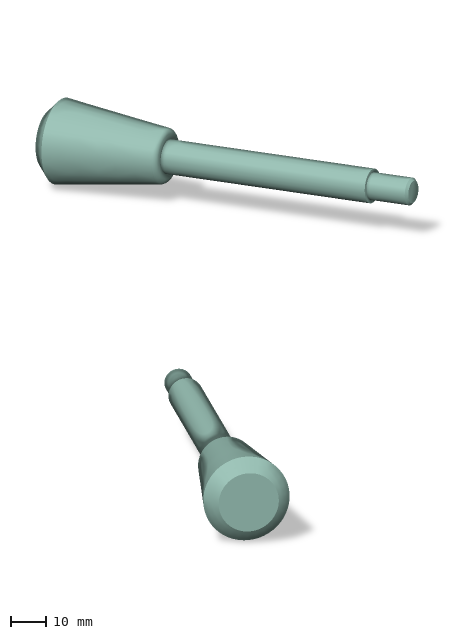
import cadquery as cq

total_length = 116.0

knob_length = 38.0
knob_diameter = 25.0
knob_end_bevel = 3.8
knob_neck_diameter = 16.0
neck_fillet = 1.6

rod_diameter = 10.0
tip_diameter = 8.0
tip_length = 13.0
tip_chamfer = 0.75


def make_knob():
    """Solid of revolution about X: bevelled flat end, long taper, rounded neck."""
    knob_radius = knob_diameter / 2
    neck_radius = knob_neck_diameter / 2
    return (
        cq.Workplane("XZ")
        .moveTo(0, 0)
        .lineTo(0, knob_radius - knob_end_bevel)
        .lineTo(knob_end_bevel, knob_radius)
        .lineTo(knob_length, neck_radius)
        .lineTo(knob_length, 0)
        .close()
        .revolve(360, (0, 0, 0), (1, 0, 0))
        .faces(">X")
        .edges()
        .fillet(neck_fillet)
    )


def make_rod():
    """Rod along X, starting at the neck of the knob, with a thinner chamfered tip."""
    rod_length = total_length - knob_length - tip_length
    return (
        cq.Workplane("YZ", origin=(knob_length, 0, 0))
        .circle(rod_diameter / 2)
        .extrude(rod_length)
        .faces(">X")
        .workplane()
        .circle(tip_diameter / 2)
        .extrude(tip_length)
        .faces(">X")
        .chamfer(tip_chamfer)
    )


result = make_knob().union(make_rod())